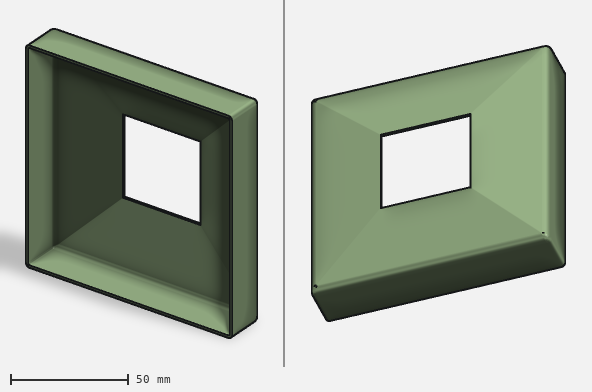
import cadquery as cq
import math

side = 108.0
height = 25.0
opening = 40.5
wall = 1.3
roof_angle = 8.0
eave_radius = 3.7
corner_radius = 2.2

roof_slope = math.tan(math.radians(roof_angle))
roof_drop = wall / math.cos(math.radians(roof_angle))


def cap_prism(half_side, top, bend_radius):
    """Skirt and roof cross-section in XY, swept along Z, with rounded eaves."""
    half_opening = opening / 2
    eave = top - (half_side - half_opening) * roof_slope
    outline = [
        (-half_side, 0),
        (half_side, 0),
        (half_side, eave),
        (half_opening, top),
        (-half_opening, top),
        (-half_side, eave),
    ]
    prism = cq.Workplane("XY").polyline(outline).close().extrude(half_side, both=True)
    eaves = "|Z and (<X or >X) and (not <Y)"
    return prism.edges(eaves).fillet(bend_radius)


def cap_block(inset, drop):
    """Solid cap whose skirt is set in by inset and whose roof is lowered by drop."""
    half_side = side / 2 - inset
    prism = cap_prism(half_side, height - drop, eave_radius - inset)
    crossing_prism = prism.rotate((0, 0, 0), (0, 1, 0), 90)
    block = prism.intersect(crossing_prism)
    return block.edges("|Y").fillet(corner_radius - inset)


outer = cap_block(0, 0)
cavity = cap_block(wall, roof_drop)
hole = cq.Workplane("XZ").rect(opening, opening).extrude(-height)

result = outer.cut(cavity).cut(hole)